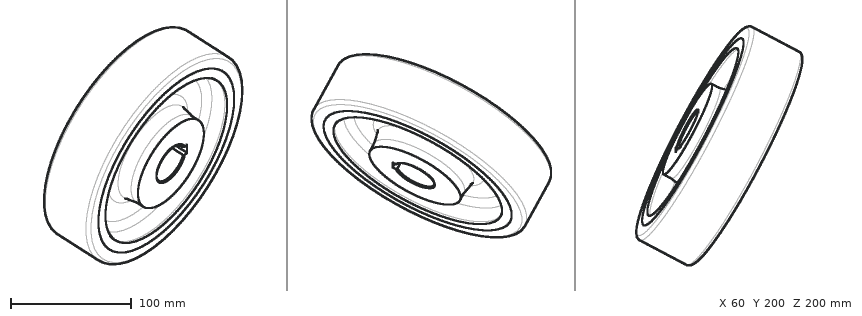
import cadquery as cq
import math

TYRE_DIAMETER = 200.0
TYRE_WIDTH = 50.0
TYRE_EDGE_RADIUS = 3.0
RIM_OUTER_DIAMETER = 175.0
RIM_INNER_DIAMETER = 156.8
HUB_DIAMETER = 85.0
HUB_LENGTH = 60.0
WEB_THICKNESS = 10.0
WEB_FILLET = 6.8
DRAFT_ANGLE = 11.0
RIM_LAND = 2.5
BORE_DIAMETER = 35.0
BORE_CHAMFER = 1.0
KEYWAY_WIDTH = 10.0
KEYWAY_REACH = 20.8

tyre_side = TYRE_WIDTH / 2
hub_end = HUB_LENGTH / 2
web_side = WEB_THICKNESS / 2
draft_start = tyre_side - RIM_LAND
draft_rise = (draft_start - web_side) * math.tan(math.radians(DRAFT_ANGLE))


def ring(outer_diameter, inner_diameter, width):
    """Plain ring along X, centred on the origin."""
    return (
        cq.Workplane("YZ", origin=(-width / 2, 0, 0))
        .circle(outer_diameter / 2)
        .circle(inner_diameter / 2)
        .extrude(width)
    )


def make_tyre():
    tyre = ring(TYRE_DIAMETER, RIM_OUTER_DIAMETER, TYRE_WIDTH)
    outer_edges = cq.selectors.RadiusNthSelector(-1)
    return tyre.edges(outer_edges).fillet(TYRE_EDGE_RADIUS)


def side_recess():
    """Annular recess on the +X side, between hub and rim, with drafted walls."""
    hub_radius = HUB_DIAMETER / 2
    rim_radius = RIM_INNER_DIAMETER / 2
    recess = (
        cq.Workplane("XY")
        .moveTo(hub_end, hub_radius)
        .lineTo(draft_start, hub_radius)
        .lineTo(web_side, hub_radius + draft_rise)
        .lineTo(web_side, rim_radius - draft_rise)
        .lineTo(draft_start, rim_radius)
        .lineTo(hub_end, rim_radius)
        .close()
        .revolve(360, (0, 0, 0), (1, 0, 0))
    )
    return recess.faces("<X").edges().fillet(WEB_FILLET)


def make_keyway():
    """Slot through the hub on the +Y side of the bore."""
    return cq.Workplane("XY").box(
        HUB_LENGTH, KEYWAY_REACH, KEYWAY_WIDTH, centered=(True, False, True)
    )


def make_wheel():
    hub = ring(HUB_DIAMETER, BORE_DIAMETER, HUB_LENGTH)
    disc = ring(RIM_OUTER_DIAMETER, BORE_DIAMETER, TYRE_WIDTH)
    recess = side_recess()
    wheel = hub.union(disc).cut(recess).cut(recess.mirror("YZ"))
    bore_edges = cq.selectors.RadiusNthSelector(0)
    wheel = wheel.faces("<X or >X").edges(bore_edges).chamfer(BORE_CHAMFER)
    return wheel.cut(make_keyway())


tyre = make_tyre()
wheel = make_wheel()

result = cq.Compound.makeCompound([*tyre.solids().vals(), *wheel.solids().vals()])